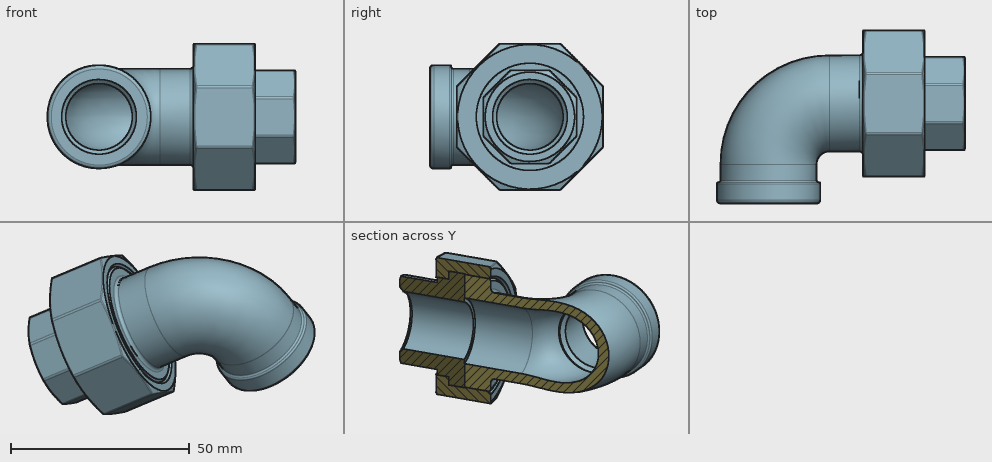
import cadquery as cq
import math

PIPE_DIA = 27.0
PIPE_BORE_DIA = 20.9
BEND_RADIUS = 16.95
INLET_END = 28.0
COLLAR_DIA = 29.0
COLLAR_LENGTH = 5.5
COLLAR_EDGE_RADIUS = 1.05
FLARE_RADIUS = (COLLAR_DIA - PIPE_DIA) / 4

SOCKET_DIA = 18.6
SOCKET_MOUTH_DIA = 20.9
SOCKET_MOUTH_DEPTH = (SOCKET_MOUTH_DIA - SOCKET_DIA) / 2
SOCKET_DEPTH = 12.0
RELIEF_LENGTH = 1.2
SOCKET_END_Y = SOCKET_DEPTH - INLET_END
RELIEF_END_Y = SOCKET_END_Y + RELIEF_LENGTH

JOINT_DIA = 34.75
BOSS_FACE_DIA = 33.5
BOSS_FILLET = 1.0
NUT_MOUTH_DIA = 36.0
NECK_DIA = 30.0

TAIL_END_X = 69.5 - COLLAR_DIA / 2
NUT_START_X = 26.4
NUT_WIDTH = 17.25
NUT_END_X = NUT_START_X + NUT_WIDTH
BOSS_END_X = 34.75
SHOULDER_X = 39.6
NECK_RECESS = 0.35
NECK_END_X = NUT_END_X - NECK_RECESS

OCTAGON_SIDES = 8
NUT_FLATS = 41.0
NUT_FACE_DIA = 40.45
TAIL_FLATS = 26.1
TAIL_FACE_DIA = 25.0
BEVEL_ANGLE = 20.0
CORNER_RADIUS = 1.0
RIM_RADIUS = 0.3


def corner_radius_of(flats):
    """Distance from the axis to the sharp corners of an octagon."""
    return flats / 2 / math.cos(math.pi / OCTAGON_SIDES)


def disc(dia, start_x, end_x):
    """Cylinder on the X axis."""
    return cq.Workplane("YZ").workplane(offset=start_x).circle(dia / 2).extrude(end_x - start_x)


def mouth_cone(face_dia, inner_dia, face_x, depth):
    """Cone on the X axis from face_dia at face_x to inner_dia; depth is signed along X."""
    profile = [(face_x, 0), (face_x, face_dia / 2), (face_x + depth, inner_dia / 2), (face_x + depth, 0)]
    return cq.Workplane("XY").polyline(profile).close().revolve(360, (0, 0, 0), (1, 0, 0))


def octagon(flats, start_x, end_x):
    """Octagonal bar on the X axis with flats on Y and Z and rounded long edges."""
    bar = (
        cq.Workplane("YZ")
        .workplane(offset=start_x)
        .transformed(rotate=(0, 0, 180 / OCTAGON_SIDES))
        .polygon(OCTAGON_SIDES, 2 * corner_radius_of(flats))
        .extrude(end_x - start_x)
    )
    return bar.edges("|X").fillet(CORNER_RADIUS)


def bevel_envelope(flats, face_dia, start_x, end_x, both_ends):
    """Round blank whose conical ends trim the corners of an octagon."""
    radius = corner_radius_of(flats)
    face_radius = face_dia / 2
    depth = (radius - face_radius) * math.tan(math.radians(BEVEL_ANGLE))
    start = [(start_x, face_radius), (start_x + depth, radius)] if both_ends else [(start_x, radius)]
    profile = [(start_x, 0), *start, (end_x - depth, radius), (end_x, face_radius), (end_x, 0)]
    return cq.Workplane("XY").polyline(profile).close().revolve(360, (0, 0, 0), (1, 0, 0))


def round_rim(bar):
    """Round the edges where the conical bevels meet the octagon."""
    return bar.edges("%HYPERBOLA or %BSPLINE").fillet(RIM_RADIUS)


def bent_rod(dia, inlet_y, outlet_x):
    """Round rod from the inlet, through the bend, to the union end."""
    path = (
        cq.Workplane("XY")
        .moveTo(0, inlet_y)
        .lineTo(0, -BEND_RADIUS)
        .radiusArc((BEND_RADIUS, 0), BEND_RADIUS)
        .lineTo(outlet_x, 0)
    )
    return cq.Workplane("XZ", origin=(0, inlet_y, 0)).circle(dia / 2).sweep(path)


def inlet_collar():
    """Raised collar with an S-shaped flare behind it and a rounded front edge."""
    pipe_r = PIPE_DIA / 2
    collar_r = COLLAR_DIA / 2
    back_y = COLLAR_LENGTH - INLET_END
    return (
        cq.Workplane("XY")
        .moveTo(0, -INLET_END)
        .lineTo(collar_r - COLLAR_EDGE_RADIUS, -INLET_END)
        .radiusArc((collar_r, COLLAR_EDGE_RADIUS - INLET_END), -COLLAR_EDGE_RADIUS)
        .lineTo(collar_r, back_y)
        .radiusArc((collar_r - FLARE_RADIUS, back_y + FLARE_RADIUS), -FLARE_RADIUS)
        .radiusArc((pipe_r, back_y + 2 * FLARE_RADIUS), FLARE_RADIUS)
        .lineTo(0, back_y + 2 * FLARE_RADIUS)
        .close()
        .revolve(360, (0, 0, 0), (0, 1, 0))
    )


def inlet_socket():
    """Threaded socket along Y with a bevelled mouth and a cone out to the pipe bore."""
    socket_r = SOCKET_DIA / 2
    profile = [
        (0, -INLET_END),
        (SOCKET_MOUTH_DIA / 2, -INLET_END),
        (socket_r, SOCKET_MOUTH_DEPTH - INLET_END),
        (socket_r, SOCKET_END_Y),
        (PIPE_BORE_DIA / 2, RELIEF_END_Y),
        (0, RELIEF_END_Y),
    ]
    return cq.Workplane("XY").polyline(profile).close().revolve(360, (0, 0, 0), (0, 1, 0))


def pipe_bore():
    """Bent bore from the end of the socket cone to the union end."""
    socket_length = SOCKET_DEPTH + RELIEF_LENGTH
    socket_zone = cq.Workplane("XY").box(PIPE_DIA, socket_length, PIPE_DIA)
    socket_zone = socket_zone.translate((0, socket_length / 2 - INLET_END, 0))
    return bent_rod(PIPE_BORE_DIA, -INLET_END, BOSS_END_X).cut(socket_zone)


def union_boss():
    """Boss that screws into the nut, with a bevelled rim and a fillet down to the pipe."""
    pipe_r = PIPE_DIA / 2
    bevel = (JOINT_DIA - BOSS_FACE_DIA) / 2
    return (
        cq.Workplane("XY")
        .moveTo(NUT_START_X - BOSS_FILLET, 0)
        .lineTo(NUT_START_X - BOSS_FILLET, pipe_r)
        .radiusArc((NUT_START_X, pipe_r + BOSS_FILLET), -BOSS_FILLET)
        .lineTo(NUT_START_X, BOSS_FACE_DIA / 2)
        .lineTo(NUT_START_X + bevel, JOINT_DIA / 2)
        .lineTo(BOSS_END_X, JOINT_DIA / 2)
        .lineTo(BOSS_END_X, 0)
        .close()
        .revolve(360, (0, 0, 0), (1, 0, 0))
    )


def make_elbow():
    outside = bent_rod(PIPE_DIA, COLLAR_LENGTH - INLET_END, BOSS_END_X)
    outside = outside.union(inlet_collar()).union(union_boss())
    return outside.cut(pipe_bore()).cut(inlet_socket())


def make_nut():
    envelope = bevel_envelope(NUT_FLATS, NUT_FACE_DIA, NUT_START_X, NUT_END_X, True)
    blank = round_rim(octagon(NUT_FLATS, NUT_START_X, NUT_END_X).intersect(envelope))
    mouth_depth = (NUT_MOUTH_DIA - JOINT_DIA) / 2
    return (
        blank.cut(disc(JOINT_DIA, NUT_START_X, SHOULDER_X))
        .cut(disc(NECK_DIA, SHOULDER_X, NUT_END_X))
        .cut(mouth_cone(NUT_MOUTH_DIA, JOINT_DIA, NUT_START_X, mouth_depth))
    )


def make_tailpiece():
    envelope = bevel_envelope(TAIL_FLATS, TAIL_FACE_DIA, NECK_END_X, TAIL_END_X, False)
    bar = round_rim(octagon(TAIL_FLATS, NECK_END_X, TAIL_END_X).intersect(envelope))
    neck = disc(NECK_DIA, SHOULDER_X, NECK_END_X)
    flange = disc(JOINT_DIA, BOSS_END_X, SHOULDER_X)
    return (
        bar.union(neck)
        .union(flange)
        .cut(disc(SOCKET_DIA, BOSS_END_X, TAIL_END_X))
        .cut(mouth_cone(SOCKET_MOUTH_DIA, SOCKET_DIA, TAIL_END_X, -SOCKET_MOUTH_DEPTH))
    )


elbow = make_elbow()
nut = make_nut()
tailpiece = make_tailpiece()

result = cq.Compound.makeCompound([elbow.val(), nut.val(), tailpiece.val()])